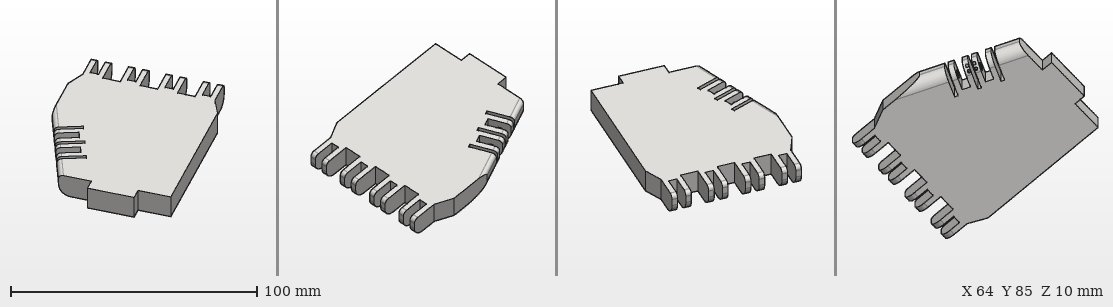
import cadquery as cq
import math

width = 64.0
length = 85.0
thickness = 10.0
bottom_edge_y = 5.0
sloped_edge_top_y = 45.0
sloped_edge_bottom_x = 16.0
shoulder_start_y = 65.0
finger_root_y = 73.0

tab_left_x = 30.0
tab_width = 20.0

finger_count = 4
lug_width = 2.5
lug_gap = 3.6
pair_width = 2 * lug_width + lug_gap
finger_pitch = width / finger_count
gap_depth = 10.0
thumb_pitch = 10.0
relief_slot_width = 1.5
relief_slot_depth = 12.0

top_radius = 1.95
bottom_radius = 5.0

socket_sphere_radius = 2.5
socket_inset = 5.0
socket_z = thickness / 2

cord_radius = 0.6
cord_offset = 1.5
cord_z = 1.6
cord_turn_inset = 3.5

first_pair_x = (finger_pitch - pair_width) / 2
slope_angle = math.degrees(math.atan2(sloped_edge_bottom_x, sloped_edge_top_y - bottom_edge_y))
slope_middle = cq.Vector(sloped_edge_bottom_x / 2, (sloped_edge_top_y + bottom_edge_y) / 2, 0)

thumb_plane = cq.Plane(origin=slope_middle).rotated((0, 0, slope_angle))


def box_from(x, y, size_x, size_y):
    """Full-thickness block with its lower-left corner at (x, y)."""
    return cq.Workplane("XY").box(size_x, size_y, thickness, centered=False).translate((x, y, 0))


def thumb_cut(center_y, slot_width, depth):
    """Full-thickness slot that runs into the palm from the sloped edge."""
    overshoot = top_radius
    return (
        cq.Workplane(thumb_plane)
        .center((depth - overshoot) / 2, center_y)
        .rect(depth + overshoot, slot_width)
        .extrude(thickness)
    )


def cord_tunnel(center_y):
    """The two legs of an L-shaped round tunnel: level from the thumb edge, vertical from the underside."""
    mouth = thumb_plane.toWorldCoords((0, center_y, cord_z))
    underside = thumb_plane.toWorldCoords((cord_turn_inset, center_y, 0))
    level_length = cord_turn_inset + 2 * cord_radius
    level_leg = cq.Solid.makeCylinder(cord_radius, level_length, mouth, thumb_plane.xDir)
    vertical_leg = cq.Solid.makeCylinder(cord_radius, cord_z, underside, thumb_plane.zDir)
    return level_leg, vertical_leg


def make_palm():
    """Plate with the thumb edge rounded above and below, plus the wrist tab."""
    outline = [
        (sloped_edge_bottom_x, bottom_edge_y),
        (width, bottom_edge_y),
        (width, shoulder_start_y),
        (width - first_pair_x, finger_root_y),
        (first_pair_x, finger_root_y),
        (0, shoulder_start_y),
        (0, sloped_edge_top_y),
    ]
    palm = cq.Workplane("XY").polyline(outline).close().extrude(thickness)
    for z, radius in ((thickness, top_radius), (0, bottom_radius)):
        sloped_edge_middle = (slope_middle.x, slope_middle.y, z)
        palm = palm.edges(cq.selectors.NearestToPointSelector(sloped_edge_middle)).fillet(radius)
    return palm.union(box_from(tab_left_x, 0, tab_width, bottom_edge_y))


def make_finger_pair(left_x):
    """Block that holds two finger lugs and the gap between them, rounded at the tip."""
    pair = box_from(left_x, finger_root_y, pair_width, length - finger_root_y)
    pair = pair.edges(">Y and >Z").fillet(top_radius)
    return pair.edges(">Y and <Z").fillet(bottom_radius)


result = make_palm()
for index in range(finger_count):
    pair_x = first_pair_x + index * finger_pitch
    gap = box_from(pair_x + lug_width, length - gap_depth, lug_gap, gap_depth)
    result = result.union(make_finger_pair(pair_x))
    result = result.cut(gap)

for step in (-1, 0, 1):
    result = result.cut(thumb_cut(step * thumb_pitch, relief_slot_width, relief_slot_depth))

for side in (-1, 1):
    gap_y = side * thumb_pitch / 2
    socket_center = thumb_plane.toWorldCoords((socket_inset, gap_y, socket_z))
    result = result.cut(thumb_cut(gap_y, lug_gap, gap_depth))
    result = result.cut(cq.Workplane("XY").sphere(socket_sphere_radius).translate(socket_center))
    for leg in cord_tunnel(side * cord_offset):
        result = result.cut(cq.Workplane(leg))

result = result.solids()